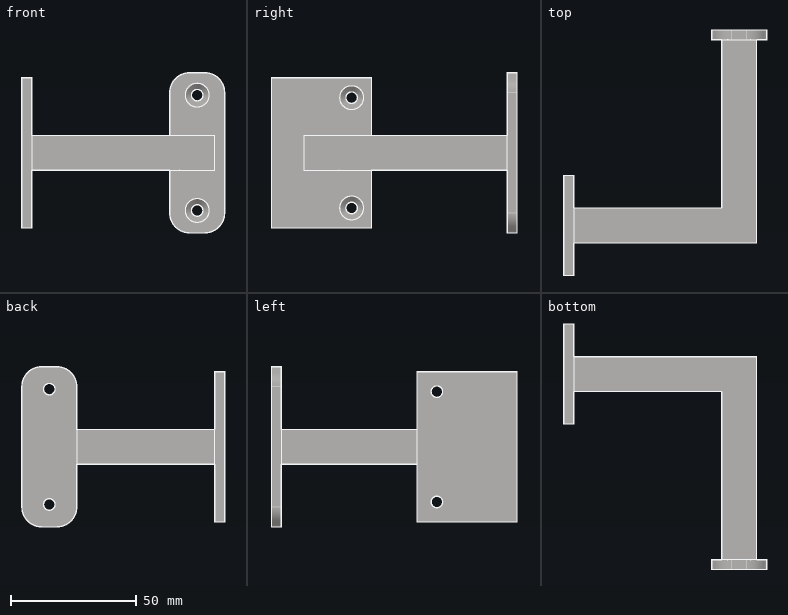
import cadquery as cq

bar_width = 14.0

side_plate_thickness = 4.0
side_plate_depth = 40.0
side_plate_height = 60.0
side_hole_spacing = 44.0
side_hole_offset = 12.0

end_plate_thickness = 4.0
end_plate_width = 22.0
end_plate_height = 64.0
end_plate_corner_radius = 8.0
end_hole_spacing = 46.0

hole_diameter = 4.5
countersink_diameter = 9.5
countersink_angle = 90.0

total_length_x = 81.0
total_length_y = 98.0

bar_center_y = side_plate_depth / 2
bar_center_x = total_length_x - end_plate_width / 2
bar_near_y = bar_center_y - bar_width / 2
bar_far_x = bar_center_x + bar_width / 2
end_plate_front_y = total_length_y - end_plate_thickness


def drill_screw_holes(plate, face, offset, spacing):
    """Drill a pair of holes, spaced along Z and countersunk on the given face."""
    return (
        plate.faces(face)
        .workplane(origin=(0, 0, 0))
        .pushPoints([(offset, side * spacing / 2) for side in (-1, 1)])
        .cskHole(hole_diameter, countersink_diameter, countersink_angle)
    )


def make_side_plate():
    """Rectangular plate with two holes near one edge, countersunk on the bar side."""
    plate = cq.Workplane("XY").box(side_plate_thickness, side_plate_depth, side_plate_height)
    plate = drill_screw_holes(plate, ">X", side_hole_offset, side_hole_spacing)
    return plate.translate((side_plate_thickness / 2, bar_center_y, 0))


def make_end_plate():
    """Plate with rounded corners and two centred holes, countersunk on the bar side."""
    plate = cq.Workplane("XY").box(end_plate_width, end_plate_thickness, end_plate_height)
    plate = plate.edges("|Y").fillet(end_plate_corner_radius)
    plate = drill_screw_holes(plate, "<Y", 0, end_hole_spacing)
    return plate.translate((bar_center_x, total_length_y - end_plate_thickness / 2, 0))


def make_bar():
    """L-shaped square bar joining the two plates."""
    inner_x = bar_far_x - bar_width
    inner_y = bar_near_y + bar_width
    outline = [
        (side_plate_thickness, bar_near_y),
        (bar_far_x, bar_near_y),
        (bar_far_x, end_plate_front_y),
        (inner_x, end_plate_front_y),
        (inner_x, inner_y),
        (side_plate_thickness, inner_y),
    ]
    return cq.Workplane("XY").polyline(outline).close().extrude(bar_width / 2, both=True)


result = make_bar().union(make_side_plate()).union(make_end_plate())